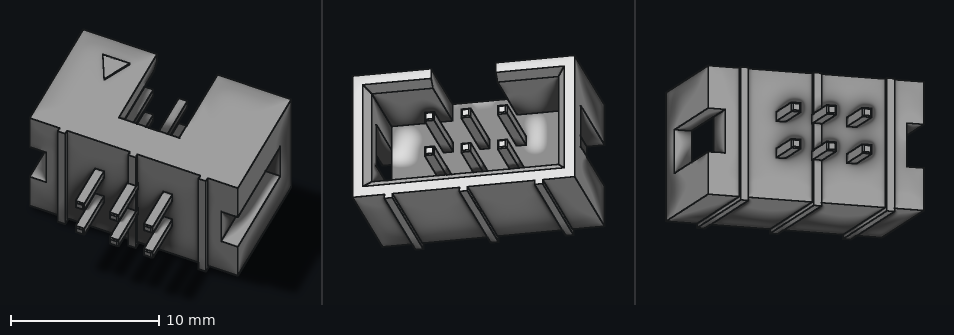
import cadquery as cq

body_width = 15.42
body_depth = 8.8
body_height = 8.91

cavity_depth = 6.29
wall = 1.23
mouth_chamfer = 0.51

key_width = 4.47

window_height = 3.0
window_setback = 1.8

rib_width = 0.55
rib_pitch = 5.21
rib_rear_height = 0.31
rib_bottom_height = 0.3

mark_size = 2.0
mark_height = 0.1
mark_centre_x = -4.53
mark_setback = 1.6

pin_columns = (-1, 0, 1)
pin_rows = (-0.5, 0.5)
pin_pitch = 2.53
pin_width = 0.66
pin_height = 0.63
pin_tail = 3.3
pin_mouth_gap = 0.62
pin_tip_chamfer = 0.1

top = body_height / 2
bottom = -body_height / 2
cavity_floor = body_depth - cavity_depth
cavity_width = body_width - 2 * wall
cavity_height = body_height - 2 * wall
window_length = body_depth - window_setback


def block(width, depth, height, x, y_start, z):
    """Box centred on x and z that grows from y_start toward +Y."""
    return (
        cq.Workplane("XY")
        .box(width, depth, height, centered=(True, False, True))
        .translate((x, y_start, z))
    )


def make_cavity():
    """Rectangular cavity with a lead-in that widens toward the mouth."""
    pocket = block(cavity_width, cavity_depth, cavity_height, 0, cavity_floor, 0)
    lead_in = (
        cq.Workplane("XZ", origin=(0, body_depth, 0))
        .rect(cavity_width + 2 * mouth_chamfer, cavity_height + 2 * mouth_chamfer)
        .workplane(offset=mouth_chamfer)
        .rect(cavity_width, cavity_height)
        .loft(ruled=True)
    )
    return pocket.union(lead_in)


def make_shroud():
    """Hollow body with its keying slot and side windows."""
    shroud = block(body_width, body_depth, body_height, 0, 0, 0).cut(make_cavity())
    shroud = shroud.cut(block(key_width, cavity_depth, top, 0, cavity_floor, top / 2))
    for side in (-1, 1):
        window_x = side * (body_width - wall) / 2
        shroud = shroud.cut(block(wall, window_length, window_height, window_x, 0, 0))
    return shroud


def make_rib(x):
    """L-shaped rib that wraps the rear and bottom faces."""
    return (
        cq.Workplane("YZ")
        .moveTo(-rib_rear_height, top)
        .lineTo(-rib_rear_height, bottom - rib_bottom_height)
        .lineTo(body_depth, bottom - rib_bottom_height)
        .lineTo(body_depth, bottom)
        .lineTo(0, bottom)
        .lineTo(0, top)
        .close()
        .extrude(rib_width / 2, both=True)
        .translate((x, 0, 0))
    )


def make_mark():
    """Triangle that points toward the rear."""
    base_y = body_depth - mark_setback
    return (
        cq.Workplane("XY", origin=(mark_centre_x, base_y, top))
        .moveTo(-mark_size / 2, 0)
        .lineTo(mark_size / 2, 0)
        .lineTo(0, -mark_size)
        .close()
        .extrude(mark_height)
    )


def make_pin(x, z):
    """Straight pin through the rear wall, chamfered at both ends."""
    length = pin_tail + body_depth - pin_mouth_gap
    pin = block(pin_width, length, pin_height, x, -pin_tail, z)
    return pin.faces("<Y or >Y").chamfer(pin_tip_chamfer)


result = make_shroud().union(make_mark())
for rib_x in (-rib_pitch, 0, rib_pitch):
    result = result.union(make_rib(rib_x))
for column in pin_columns:
    for row in pin_rows:
        result = result.union(make_pin(column * pin_pitch, row * pin_pitch))